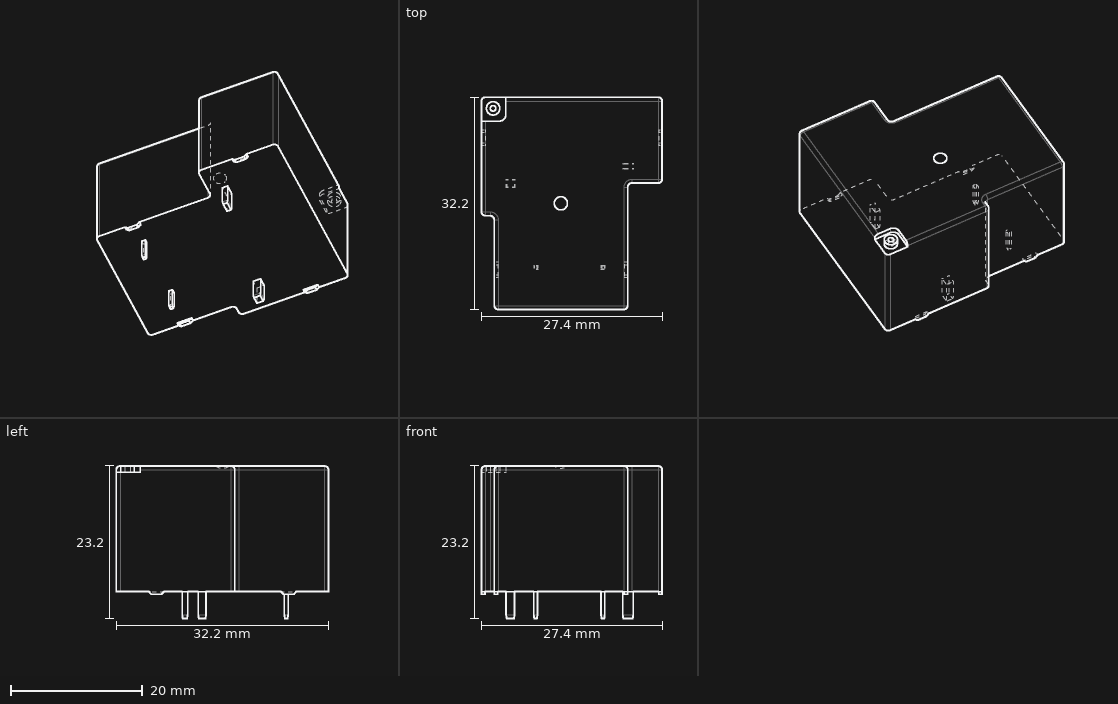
import cadquery as cq


WIDTH = 27.4
DEPTH = 32.2
HEIGHT = 19.03
FRONT_LEFT = 1.93
FRONT_RIGHT = 22.2
LEFT_STEP_Y = 14.2
RIGHT_STEP_Y = 19.15
EDGE_RADIUS = 0.6

RECESS_X = 3.7
RECESS_Y = 3.65
RECESS_DEPTH = 0.95
RECESS_RADIUS = 0.95
BOSS_X = 1.77
BOSS_Y = DEPTH - 1.7
BOSS_DIAMETER = 2.03
BOSS_HOLE_DIAMETER = 0.85

DIMPLE_X = 12.05
DIMPLE_Y = DEPTH / 2
DIMPLE_DIAMETER = 2.0
DIMPLE_DEPTH = 0.32

FOOT_HEIGHT = 0.45
FOOT_LENGTH = 2.38
FOOT_TIP_LENGTH = 1.55
FOOT_THICKNESS = 0.55
FRONT_FOOT_Y = 6.05
BACK_FOOT_Y = 26.08

PIN_LENGTH = 4.12
PIN_TIP_LENGTH = 0.58
PIN_TIP_INSET = 0.1
COIL_PIN_SIZE = 0.6
COIL_PIN_Y = 6.4
PINS = [
    (8.2, COIL_PIN_Y, COIL_PIN_SIZE, COIL_PIN_SIZE),
    (18.42, COIL_PIN_Y, COIL_PIN_SIZE, COIL_PIN_SIZE),
    (4.38, 19.15, 1.32, 1.22),
    (22.22, 21.77, 1.65, 0.87),
]


def make_housing():
    outline = [
        (FRONT_LEFT, 0),
        (FRONT_RIGHT, 0),
        (FRONT_RIGHT, RIGHT_STEP_Y),
        (WIDTH, RIGHT_STEP_Y),
        (WIDTH, DEPTH),
        (0, DEPTH),
        (0, LEFT_STEP_Y),
        (FRONT_LEFT, LEFT_STEP_Y),
    ]
    block = cq.Workplane("XY").polyline(outline).close().extrude(HEIGHT)
    return block.edges("|Z").fillet(EDGE_RADIUS).faces(">Z").edges().fillet(EDGE_RADIUS)


def make_recess():
    floor = HEIGHT - RECESS_DEPTH
    pocket = (
        cq.Workplane("XY", origin=(0, DEPTH, floor))
        .rect(2 * RECESS_X, 2 * RECESS_Y)
        .extrude(RECESS_DEPTH)
        .edges("|Z")
        .fillet(RECESS_RADIUS)
    )
    boss = (
        cq.Workplane("XY", origin=(BOSS_X, BOSS_Y, floor))
        .circle(BOSS_DIAMETER / 2)
        .circle(BOSS_HOLE_DIAMETER / 2)
        .extrude(RECESS_DEPTH)
    )
    return pocket.cut(boss)


def make_dimple():
    rim_radius = DIMPLE_DIAMETER / 2
    ball_radius = (rim_radius**2 + DIMPLE_DEPTH**2) / (2 * DIMPLE_DEPTH)
    ball_z = HEIGHT - DIMPLE_DEPTH + ball_radius
    return cq.Workplane("XY", origin=(DIMPLE_X, DIMPLE_Y, ball_z)).sphere(ball_radius)


def make_foot(wall_x, centre_y):
    profile = [
        (centre_y - FOOT_LENGTH / 2, 0),
        (centre_y + FOOT_LENGTH / 2, 0),
        (centre_y + FOOT_TIP_LENGTH / 2, -FOOT_HEIGHT),
        (centre_y - FOOT_TIP_LENGTH / 2, -FOOT_HEIGHT),
    ]
    return cq.Workplane("YZ", origin=(wall_x, 0, 0)).polyline(profile).close().extrude(FOOT_THICKNESS)


def make_pin(x, y, size_x, size_y):
    shank_length = PIN_LENGTH - PIN_TIP_LENGTH
    shank = cq.Workplane("XY", origin=(x, y, 0)).rect(size_x, size_y).extrude(-shank_length)
    tip = (
        cq.Workplane("XY", origin=(x, y, -shank_length))
        .rect(size_x, size_y)
        .workplane(offset=-PIN_TIP_LENGTH)
        .rect(size_x - 2 * PIN_TIP_INSET, size_y - 2 * PIN_TIP_INSET)
        .loft(ruled=True)
    )
    return shank.union(tip)


result = make_housing().cut(make_recess()).cut(make_dimple())

feet = [
    (0, BACK_FOOT_Y),
    (WIDTH - FOOT_THICKNESS, BACK_FOOT_Y),
    (FRONT_LEFT, FRONT_FOOT_Y),
    (FRONT_RIGHT - FOOT_THICKNESS, FRONT_FOOT_Y),
]
for foot_x, foot_y in feet:
    result = result.union(make_foot(foot_x, foot_y))

for pin in PINS:
    result = result.union(make_pin(*pin))